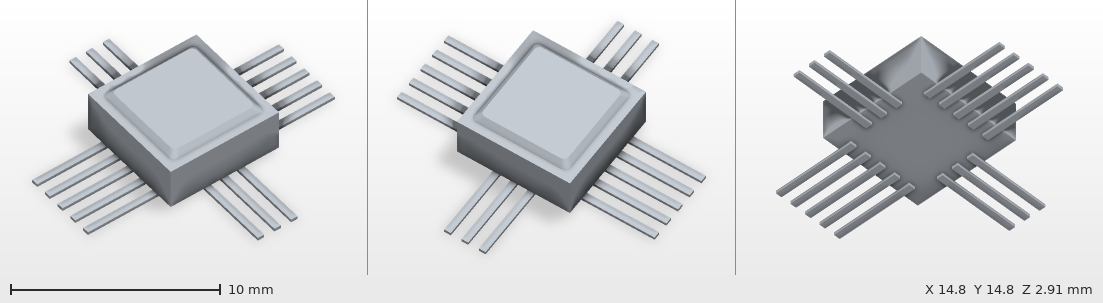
import cadquery as cq

span = 14.8

lead_width = 0.38
lead_thickness = 0.18
lead_length = 4.97
leads_per_x_side = 3
leads_per_y_side = 5
long_row_span = 4.0
lead_pitch = long_row_span / (leads_per_y_side - 1)

body_side = 6.5
body_height = 2.15
plate_thickness = 0.27

panel_base_side = 5.55
panel_height = 0.31
panel_inset = 0.33
panel_corner_radius = 0.3

body_bottom = lead_thickness
plate_bottom = body_bottom + body_height
plate_top = plate_bottom + plate_thickness


def square_block(side, height, bottom):
    """Square block centred on the Z axis, standing at the bottom level."""
    return cq.Workplane("XY", origin=(0, 0, bottom)).rect(side, side).extrude(height)


def raised_panel():
    """Frustum whose rounded corners keep the same radius from base to top."""
    panel_top_side = panel_base_side - 2 * panel_inset
    base = cq.Sketch().rect(panel_base_side, panel_base_side).vertices().fillet(panel_corner_radius)
    top = cq.Sketch().rect(panel_top_side, panel_top_side).vertices().fillet(panel_corner_radius)
    return (
        cq.Workplane("XY", origin=(0, 0, plate_top))
        .placeSketch(base, top.moved(cq.Location(cq.Vector(0, 0, panel_height))))
        .loft(ruled=True)
    )


def lead_row(count, angle):
    """Row of parallel leads on the +X side, turned about Z by angle degrees."""
    lead_centre = (span - lead_length) / 2
    row = (
        cq.Workplane("XY")
        .center(lead_centre, 0)
        .rarray(0.15, lead_pitch, 1, count)
        .rect(lead_length, lead_width)
        .extrude(lead_thickness)
    )
    return row.rotate((0, 0, 0), (0, 0, 1), angle)


body = square_block(body_side, body_height, body_bottom)
lid_plate = square_block(body_side, plate_thickness, plate_bottom)

result = body.union(lid_plate, clean=False).union(raised_panel(), clean=False)
for count, angle in (
    (leads_per_x_side, 0),
    (leads_per_y_side, 90),
    (leads_per_x_side, 180),
    (leads_per_y_side, 270),
):
    result = result.union(lead_row(count, angle), clean=False)